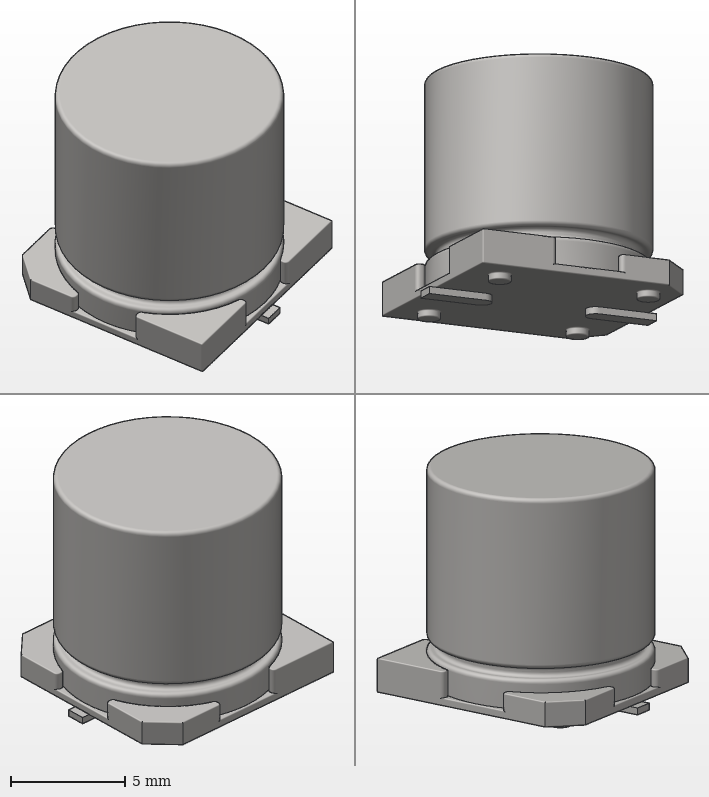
import cadquery as cq
import math

can_diameter = 10.0
can_radius = can_diameter / 2
can_top = 10.3
rim_fillet = 0.2

neck_diameter = 9.0
neck_radius = neck_diameter / 2
groove_bottom = 1.84
groove_fillet = 0.2
neck_height = 0.09

base_width = 10.3
base_half = base_width / 2
base_bottom = 0.32
floor_top = 0.68
chamfered_block_top = 1.47
square_block_top = 1.88
corner_chamfer = 1.26
edge_fillet = 0.05

gap_half_width = 1.56
tip_fillet = 0.2

lead_span = 11
lead_inner_end = 2.31
lead_width = 0.9
foot_diameter = 1.0
foot_offset = 3.6


def make_can():
    """Revolve the can: rounded rim on top and a crimp groove with S-shaped flanks."""
    shift = groove_fillet * math.sqrt(0.5)
    lip_radius = can_radius - groove_fillet
    flank_radius = neck_radius + groove_fillet
    lower_flank = groove_bottom + groove_fillet
    neck_bottom = lower_flank + groove_fillet
    neck_top = neck_bottom + neck_height
    upper_flank = neck_top + groove_fillet
    groove_top = upper_flank + groove_fillet
    profile = (
        cq.Workplane("XZ")
        .moveTo(0, base_bottom + edge_fillet)
        .lineTo(can_radius, base_bottom + edge_fillet)
        .lineTo(can_radius, groove_bottom)
        .threePointArc((lip_radius + shift, groove_bottom + shift), (lip_radius, lower_flank))
        .lineTo(flank_radius, lower_flank)
        .threePointArc((flank_radius - shift, neck_bottom - shift), (neck_radius, neck_bottom))
        .lineTo(neck_radius, neck_top)
        .threePointArc((flank_radius - shift, neck_top + shift), (flank_radius, upper_flank))
        .lineTo(lip_radius, upper_flank)
        .threePointArc((lip_radius + shift, groove_top - shift), (can_radius, groove_top))
        .lineTo(can_radius, can_top)
        .lineTo(0, can_top)
        .close()
    )
    can = profile.revolve(360, (0, 0, 0), (0, 1, 0))
    return can.faces(">Z").edges().fillet(rim_fillet)


def base_slab(top):
    """Square slab with the two -X corners chamfered and the two +X corners eased."""
    slab = (
        cq.Workplane("XY", origin=(0, 0, base_bottom))
        .rect(base_width, base_width)
        .extrude(top - base_bottom)
    )
    slab = slab.edges("|Z and <X").chamfer(corner_chamfer)
    return slab.edges("|Z and >X").fillet(edge_fillet)


def make_floor():
    """Thin plate that carries the corner blocks."""
    return base_slab(floor_top).faces("<Z or >Z").edges().fillet(edge_fillet)


def make_corner_block(x_side, y_side, top):
    """Corner of the base that hugs the can and ends in rounded tips at the gaps."""
    quadrant_size = base_half - gap_half_width
    quadrant_center = (base_half + gap_half_width) / 2
    quadrant = (
        cq.Workplane("XY")
        .center(x_side * quadrant_center, y_side * quadrant_center)
        .rect(quadrant_size, quadrant_size)
        .extrude(can_top)
    )
    bore = cq.Workplane("XY").circle(can_radius).extrude(can_top)
    block = base_slab(top).intersect(quadrant).cut(bore)

    tip_depth = math.sqrt(can_radius**2 - gap_half_width**2)
    middle = (base_bottom + top) / 2
    for depth in (base_half, tip_depth):
        for x, y in ((gap_half_width, depth), (depth, gap_half_width)):
            tip_edge = cq.selectors.NearestToPointSelector((x_side * x, y_side * y, middle))
            block = block.edges("|Z").edges(tip_edge).fillet(tip_fillet)
    block = block.faces(">Z").edges().fillet(edge_fillet)

    buried = cq.Workplane("XY").rect(lead_span, lead_span).extrude(base_bottom + edge_fillet)
    return block.cut(buried)


def make_lead(x_side):
    """Flat lead reaching out past the base, with a round inner end."""
    end_center = lead_inner_end + lead_width / 2
    length = lead_span / 2 - end_center
    bar = (
        cq.Workplane("XY")
        .center(x_side * (end_center + length / 2), 0)
        .rect(length, lead_width)
        .extrude(base_bottom)
    )
    round_end = (
        cq.Workplane("XY")
        .center(x_side * end_center, 0)
        .circle(lead_width / 2)
        .extrude(base_bottom)
    )
    return bar.union(round_end)


def make_foot(x, y):
    """Round standoff with a rounded bottom rim and a flared root under the base."""
    radius = foot_diameter / 2
    shift = edge_fillet * math.sqrt(0.5)
    root_bottom = base_bottom - edge_fillet
    profile = (
        cq.Workplane("XZ")
        .lineTo(radius - edge_fillet, 0)
        .threePointArc((radius - edge_fillet + shift, edge_fillet - shift), (radius, edge_fillet))
        .lineTo(radius, root_bottom)
        .threePointArc(
            (radius + edge_fillet - shift, root_bottom + shift),
            (radius + edge_fillet, base_bottom),
        )
        .lineTo(0, base_bottom)
        .close()
    )
    return profile.revolve(360, (0, 0, 0), (0, 1, 0)).translate((x, y, 0))


result = make_floor().union(make_can())
for x_side, block_top in ((-1, chamfered_block_top), (1, square_block_top)):
    result = result.union(make_lead(x_side))
    for y_side in (-1, 1):
        result = result.union(make_corner_block(x_side, y_side, block_top))
        result = result.union(make_foot(x_side * foot_offset, y_side * foot_offset))